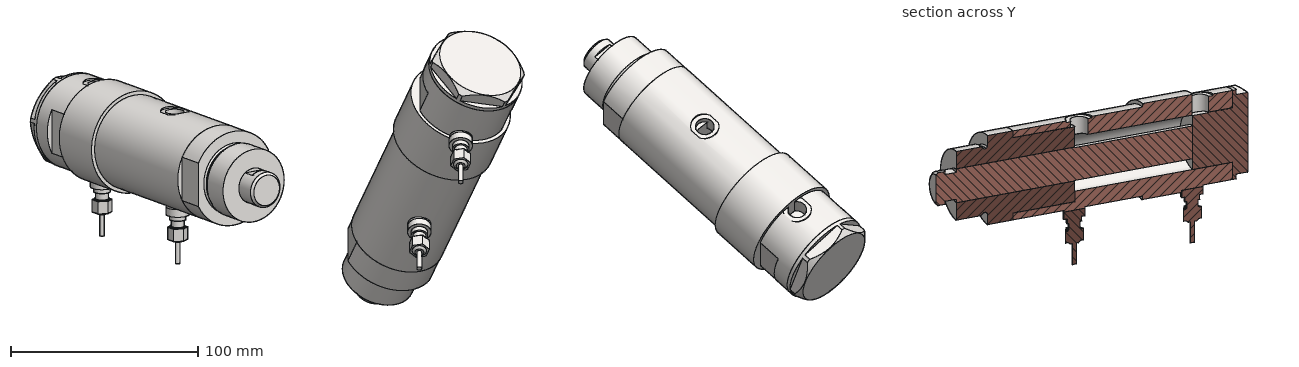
import cadquery as cq
import math

TOTAL_LENGTH = 184.4

HOUSING_RADIUS = 26.0
HOUSING_START = 9.0
HOUSING_END = 139.0
BORE_RADIUS = 15.7
COLLAR_RADIUS = 28.0
COLLAR_START = 32.8
COLLAR_END = 62.5
FLAT_DISTANCE = 23.0
HOUSING_FLAT_START = 19.0

CAP_PORT_X = 28.4
GLAND_PORT_X = 99.8
PORT_RADIUS = 5.0
SPOTFACE_RADIUS = 7.5
SPOTFACE_Z = 25.0

CAP_HEX_LENGTH = 6.8
CAP_HEX_ACROSS_FLATS = 2 * FLAT_DISTANCE
CAP_TILT = -7.3
CAP_FACE_RADIUS = 22.9

GLAND_PLUG_RADIUS = 21.8
GLAND_PLUG_START = 102.3
GLAND_END = 154.0
NOSE_RADIUS = 20.1
NOSE_END = 172.5
RELIEF_RADIUS = 18.6
RELIEF_SHOULDER_RADIUS = 19.5
RELIEF_SHOULDER_WIDTH = 1.0
RELIEF_FLOOR_WIDTH = 1.1
NOSE_START = 157.7

ROD_DIAMETER = 19.4
ROD_RADIUS = ROD_DIAMETER / 2
ROD_CHAMFER = 1.3
ROD_FLAT_DISTANCE = 8.0
ROD_FLAT_END = 178.9

SENSOR_STATIONS = (COLLAR_START, 102.5)
SENSOR_BASE_RADIUS = 6.3
SENSOR_SEAT_Z = -27.0
SENSOR_BASE_BOTTOM = -31.2
SENSOR_STEP_RADIUS = 4.5
SENSOR_STEP_BOTTOM = -34.0
SENSOR_NECK_RADIUS = 3.5
SENSOR_WASHER_RADIUS = 4.0
SENSOR_WASHER_THICKNESS = 0.5
SENSOR_NUT_TOP = -38.2
SENSOR_NUT_BOTTOM = -45.0
SENSOR_NUT_ACROSS_FLATS = 9.4
SENSOR_CONE_RADIUS = 3.9
SENSOR_CONE_TIP_RADIUS = 2.4
SENSOR_CONE_BOTTOM = -46.1
WIRE_RADIUS = 1.3
WIRE_BOTTOM = -58.3


def cylinder_x(radius, start, end):
    """Solid cylinder on the X axis between two stations."""
    return cq.Workplane("YZ", origin=(start, 0, 0)).circle(radius).extrude(end - start)


def cylinder_z(x, radius, bottom, top):
    """Solid vertical cylinder at station x."""
    return cq.Workplane("XY", origin=(x, 0, bottom)).circle(radius).extrude(top - bottom)


def revolve_x(profile):
    """Solid of revolution about X from (station, radius) points."""
    return cq.Workplane("XY").polyline(profile).close().revolve(360, (0, 0, 0), (1, 0, 0))


def hex_circle_diameter(across_flats):
    """Diameter of the circle through the corners of a hexagon."""
    return across_flats / math.cos(math.radians(30))


def slab(start, end, thickness, normal):
    """Slab centred on the axis, spanning the full housing except along its normal, "Y" or "Z"."""
    full = 2 * COLLAR_RADIUS
    width, height = (thickness, full) if normal == "Y" else (full, thickness)
    return cq.Workplane("YZ", origin=(start, 0, 0)).rect(width, height).extrude(end - start)


def make_port(x):
    """Cutter for a port: a spotface with a hole down to the bore."""
    hole = cylinder_z(x, PORT_RADIUS, 0, SPOTFACE_Z)
    return hole.union(cylinder_z(x, SPOTFACE_RADIUS, SPOTFACE_Z, COLLAR_RADIUS))


def make_housing(sensors):
    plain_end = cylinder_x(HOUSING_RADIUS, HOUSING_START, HOUSING_FLAT_START)
    flatted = cylinder_x(HOUSING_RADIUS, HOUSING_FLAT_START, COLLAR_START)
    flatted = flatted.intersect(slab(HOUSING_FLAT_START, COLLAR_START, 2 * FLAT_DISTANCE, "Y"))
    head = plain_end.union(flatted).cut(make_port(CAP_PORT_X))
    tube = cylinder_x(HOUSING_RADIUS, COLLAR_START, HOUSING_END).cut(make_port(GLAND_PORT_X))
    collar = cylinder_x(COLLAR_RADIUS, COLLAR_START, COLLAR_END)
    housing = head.union(tube).union(collar)
    for x in SENSOR_STATIONS:
        housing = housing.union(cylinder_z(x, SENSOR_BASE_RADIUS, SENSOR_SEAT_Z, -FLAT_DISTANCE))
    housing = housing.cut(cylinder_x(BORE_RADIUS, HOUSING_START, GLAND_PLUG_START))
    housing = housing.cut(cylinder_x(GLAND_PLUG_RADIUS, GLAND_PLUG_START, HOUSING_END))
    for sensor in sensors:
        housing = housing.cut(sensor)
    return housing


def make_cap():
    hexagon = (
        cq.Workplane("YZ")
        .polygon(6, hex_circle_diameter(CAP_HEX_ACROSS_FLATS))
        .extrude(CAP_HEX_LENGTH)
    )
    chamfer = HOUSING_RADIUS - CAP_FACE_RADIUS
    turned_blank = cylinder_x(HOUSING_RADIUS, 0, CAP_HEX_LENGTH).faces("<X").chamfer(chamfer)
    flange = cylinder_x(HOUSING_RADIUS, CAP_HEX_LENGTH, HOUSING_START)
    plug = cylinder_x(BORE_RADIUS, HOUSING_START, COLLAR_START)
    cap = hexagon.intersect(turned_blank).union(flange).union(plug)
    return cap.rotate((0, 0, 0), (1, 0, 0), CAP_TILT)


def make_gland():
    plug = cylinder_x(GLAND_PLUG_RADIUS, GLAND_PLUG_START, HOUSING_END)
    flange = cylinder_x(HOUSING_RADIUS, HOUSING_END, GLAND_END)
    flange = flange.intersect(slab(HOUSING_END, GLAND_END, 2 * FLAT_DISTANCE, "Y"))
    relief_start = GLAND_END + RELIEF_SHOULDER_WIDTH
    nose = revolve_x([
        (GLAND_END, 0),
        (GLAND_END, RELIEF_SHOULDER_RADIUS),
        (relief_start, RELIEF_RADIUS),
        (relief_start + RELIEF_FLOOR_WIDTH, RELIEF_RADIUS),
        (NOSE_START, NOSE_RADIUS),
        (NOSE_END, NOSE_RADIUS),
        (NOSE_END, 0),
    ])
    rod_hole = cylinder_x(ROD_RADIUS, GLAND_PLUG_START, NOSE_END)
    return plug.union(flange).union(nose).cut(rod_hole)


def make_rod():
    rod = cylinder_x(ROD_RADIUS, COLLAR_START, TOTAL_LENGTH).faces(">X").chamfer(ROD_CHAMFER)
    flatted = cylinder_x(ROD_RADIUS, NOSE_END, ROD_FLAT_END)
    flat_waste = flatted.cut(slab(NOSE_END, ROD_FLAT_END, 2 * ROD_FLAT_DISTANCE, "Z"))
    return rod.cut(flat_waste)


def make_sensor(x):
    washer_top = SENSOR_NUT_TOP + SENSOR_WASHER_THICKNESS
    turned = (
        cq.Workplane("XZ")
        .polyline([
            (0, SENSOR_SEAT_Z),
            (SENSOR_BASE_RADIUS, SENSOR_SEAT_Z),
            (SENSOR_BASE_RADIUS, SENSOR_BASE_BOTTOM),
            (SENSOR_STEP_RADIUS, SENSOR_BASE_BOTTOM),
            (SENSOR_STEP_RADIUS, SENSOR_STEP_BOTTOM),
            (SENSOR_NECK_RADIUS, SENSOR_STEP_BOTTOM),
            (SENSOR_NECK_RADIUS, washer_top),
            (SENSOR_WASHER_RADIUS, washer_top),
            (SENSOR_WASHER_RADIUS, SENSOR_NUT_BOTTOM),
            (SENSOR_CONE_RADIUS, SENSOR_NUT_BOTTOM),
            (SENSOR_CONE_TIP_RADIUS, SENSOR_CONE_BOTTOM),
            (WIRE_RADIUS, SENSOR_CONE_BOTTOM),
            (WIRE_RADIUS, WIRE_BOTTOM),
            (0, WIRE_BOTTOM),
        ])
        .close()
        .revolve(360, (0, 0, 0), (0, 1, 0))
    )
    nut = (
        cq.Workplane("XY", origin=(0, 0, SENSOR_NUT_BOTTOM))
        .polygon(6, hex_circle_diameter(SENSOR_NUT_ACROSS_FLATS))
        .extrude(SENSOR_NUT_TOP - SENSOR_NUT_BOTTOM)
    )
    return turned.union(nut).translate((x, 0, 0))


sensors = [make_sensor(x) for x in SENSOR_STATIONS]
housing = make_housing(sensors)
cap = make_cap()
gland = make_gland()
rod = make_rod()

result = cq.Compound.makeCompound(
    [housing.val(), cap.val(), gland.val(), rod.val(), *[sensor.val() for sensor in sensors]]
)